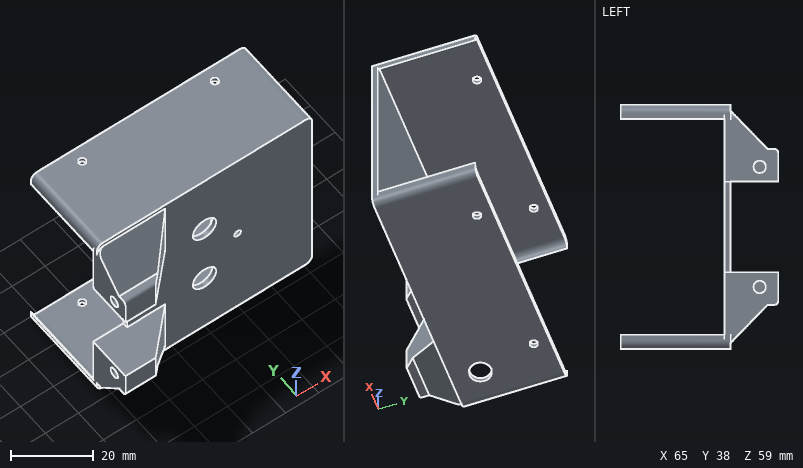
import cadquery as cq

length = 65.0
height = 59.0
flange_depth = 26.5
thickness = 1.5
corner_radius = 2.0

lug_reach = 11.5
lug_front_length = 9.1
lug_base_length = lug_front_length + lug_reach
lug_inner_drop = 18.6
ledge_drop = 10.65
slope_reach = 8.9
ledge_radius = 1.0
pin_diameter = 3.0
pin_depth = 10.0
pin_reach = 7.0
pin_drop = 15.0

large_hole = 7.0
small_hole = 2.0
hole_offset = 10.0
flange_hole_offset = 20.0
flange_hole_inset = 4.0
floor_hole = 5.5
floor_hole_x = 9.1
floor_hole_inset = 19.0

half_length = length / 2
half_height = height / 2
overall_depth = flange_depth + lug_reach
rear_y = overall_depth / 2
plate_y = rear_y - flange_depth
plate_inner_y = plate_y + thickness
lug_y = plate_y - lug_reach


def rounded_bar(bar_height, y_start, y_end):
    """Bar along Y whose four XZ corners are rounded."""
    return (
        cq.Workplane("XY")
        .box(length, y_end - y_start, bar_height)
        .edges("|Y")
        .fillet(corner_radius)
        .translate((0, (y_start + y_end) / 2, 0))
    )


def make_shell():
    """Front plate and flanges, notched between the lugs."""
    shell = rounded_bar(height, plate_y, rear_y)
    cavity_height = height - 2 * thickness
    shell = shell.cut(rounded_bar(cavity_height, plate_inner_y, rear_y))
    notch = (
        cq.Workplane("XY")
        .box(lug_front_length, thickness, height - 2 * lug_inner_drop)
        .translate((-half_length + lug_front_length / 2, plate_y + thickness / 2, 0))
    )
    return shell.cut(notch)


def make_upper_lug():
    """Lug sloped toward the flange and toward +X, with a blind pin hole."""
    side = (
        cq.Workplane("YZ", origin=(-half_length, 0, 0))
        .moveTo(plate_inner_y, half_height - lug_inner_drop)
        .lineTo(lug_y, half_height - lug_inner_drop)
        .lineTo(lug_y, half_height - ledge_drop - ledge_radius)
        .radiusArc((lug_y + ledge_radius, half_height - ledge_drop), ledge_radius)
        .lineTo(plate_y - slope_reach, half_height - ledge_drop)
        .lineTo(plate_y, half_height - thickness)
        .lineTo(plate_inner_y, half_height - thickness)
        .close()
        .extrude(lug_base_length)
    )
    plan = (
        cq.Workplane("XY", origin=(0, 0, -half_height))
        .moveTo(-half_length, plate_inner_y)
        .lineTo(-half_length, lug_y)
        .lineTo(-half_length + lug_front_length, lug_y)
        .lineTo(-half_length + lug_base_length, plate_y)
        .lineTo(-half_length + lug_base_length, plate_inner_y)
        .close()
        .extrude(height)
    )
    corner_limit = rounded_bar(height - 2 * thickness, lug_y, plate_inner_y)
    pin_hole = (
        cq.Workplane("YZ", origin=(-half_length, 0, 0))
        .center(plate_y - pin_reach, half_height - pin_drop)
        .circle(pin_diameter / 2)
        .extrude(pin_depth)
    )
    return side.intersect(plan).intersect(corner_limit).cut(pin_hole)


def plate_holes():
    """Two large holes and one small hole through the front plate."""
    plane = cq.Workplane("XZ", origin=(0, plate_inner_y, 0))
    large = plane.pushPoints([(0, hole_offset), (0, -hole_offset)]).circle(large_hole / 2).extrude(thickness)
    small = plane.center(hole_offset, 0).circle(small_hole / 2).extrude(thickness)
    return large.union(small)


def flange_holes():
    """Small holes near the rear edge, through both flanges."""
    hole_y = rear_y - flange_hole_inset
    return (
        cq.Workplane("XY", origin=(0, 0, -half_height))
        .pushPoints([(-flange_hole_offset, hole_y), (flange_hole_offset, hole_y)])
        .circle(small_hole / 2)
        .extrude(height)
    )


def make_floor_hole():
    """Hole through the lower flange only."""
    return (
        cq.Workplane("XY", origin=(-half_length + floor_hole_x, rear_y - floor_hole_inset, -half_height))
        .circle(floor_hole / 2)
        .extrude(thickness)
    )


upper_lug = make_upper_lug()
lower_lug = upper_lug.mirror("XY")
result = make_shell().union(upper_lug).union(lower_lug)
result = result.cut(plate_holes()).cut(flange_holes()).cut(make_floor_hole())